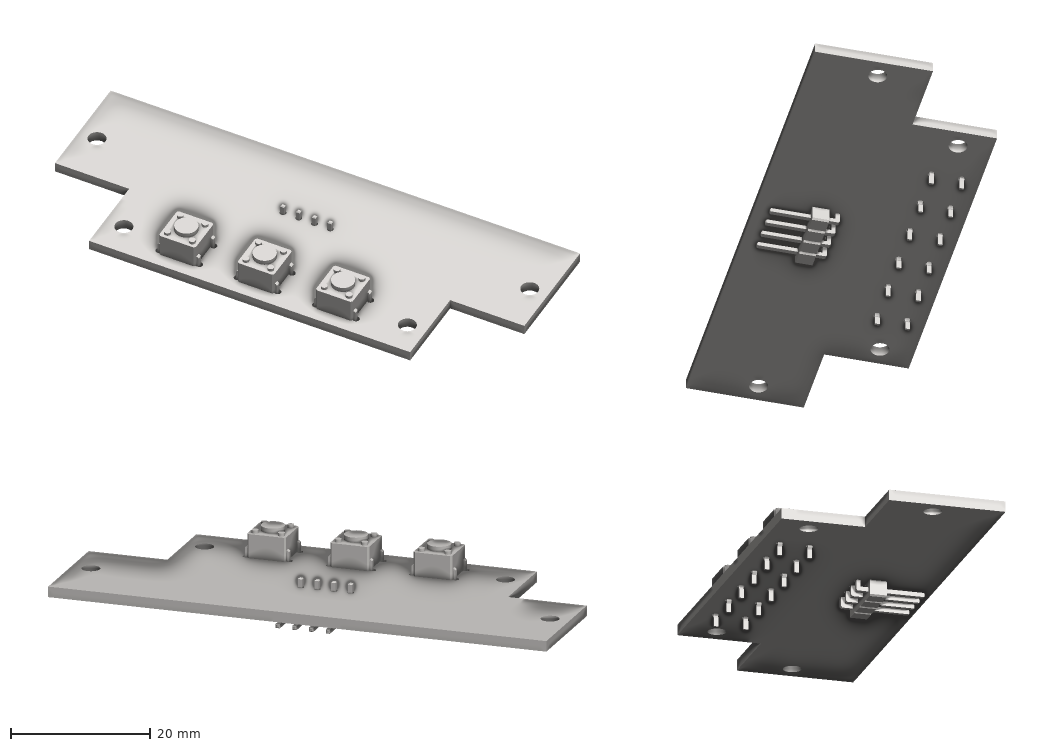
import cadquery as cq

BOARD_LENGTH = 76.0
BOARD_DEPTH = 30.0
BOARD_THICKNESS = 1.6
WIDE_DEPTH = 17.5
NARROW_LENGTH = 52.0
MOUNT_HOLE_DIAMETER = 2.7
REAR_MOUNT_X = 35.0
REAR_MOUNT_Y = -10.0
FRONT_MOUNT_X = 22.95

ROW_CENTER_X = -0.15

SWITCH_ROW_Y = -25.0
SWITCH_PITCH = 12.7
SWITCH_COUNT = 3
SWITCH_SIDE = 5.9
SWITCH_HEIGHT = 3.65
SWITCH_CORNER_CHAMFER = 0.265
PEG_DIAMETER = 1.0
PEG_SPACING = 4.0
PEG_HEIGHT = 0.45
PLUNGER_DIAMETER = 3.5
PLUNGER_HEIGHT = 0.75

LEG_SPACING_X = 6.4
LEG_SPACING_Y = 4.5
LEG_WIDTH = 0.7
LEG_THICKNESS = 0.3
LEG_TOP = 1.7
LEG_BEND = 0.2
LEG_BELOW_BOARD = 1.8
LEG_KINK_DEPTH = 0.2
LEG_KINK_BELOW_BOARD = 0.15
LEG_KINK_HALF_HEIGHT = 0.4
LEG_HOLE_DIAMETER = 1.1
LEG_HOLE_SPACING_X = 6.5

PIN_COUNT = 4
HEADER_LENGTH = 10.2
HEADER_HEIGHT = 2.5
HEADER_DEPTH = 2.5
PIN_PITCH = HEADER_LENGTH / PIN_COUNT
PIN_SIDE = 0.64
PIN_TIP_CHAMFER = 0.15
PIN_ROW_Y = -11.85
PIN_ABOVE_BOARD = 1.45
PIN_BEND_CHAMFER = 0.2
PIN_FREE_END_Y = -1.8
PIN_HOLE_DIAMETER = 1.0
HEADER_CENTER_Y = -9.1
HEADER_CHAMFER = 0.25

BOARD_BOTTOM = -BOARD_THICKNESS
PIN_AXIS_Z = BOARD_BOTTOM - HEADER_HEIGHT / 2


def row_positions(count, pitch):
    """X positions of a row of equally spaced items about the row centre."""
    return [ROW_CENTER_X + (i - (count - 1) / 2) * pitch for i in range(count)]


SWITCH_XS = row_positions(SWITCH_COUNT, SWITCH_PITCH)
PIN_XS = row_positions(PIN_COUNT, PIN_PITCH)


def make_board():
    half_length = BOARD_LENGTH / 2
    half_narrow = NARROW_LENGTH / 2
    outline = [
        (-half_length, 0),
        (half_length, 0),
        (half_length, -WIDE_DEPTH),
        (half_narrow, -WIDE_DEPTH),
        (half_narrow, -BOARD_DEPTH),
        (-half_narrow, -BOARD_DEPTH),
        (-half_narrow, -WIDE_DEPTH),
        (-half_length, -WIDE_DEPTH),
    ]
    mount_points = []
    for side in (-1, 1):
        mount_points.append((side * REAR_MOUNT_X, REAR_MOUNT_Y))
        mount_points.append((side * FRONT_MOUNT_X, SWITCH_ROW_Y))
    leg_points = [
        (x + side_x * LEG_HOLE_SPACING_X / 2, SWITCH_ROW_Y + side_y * LEG_SPACING_Y / 2)
        for x in SWITCH_XS
        for side_x in (-1, 1)
        for side_y in (-1, 1)
    ]
    pin_points = [(x, PIN_ROW_Y) for x in PIN_XS]

    board = cq.Workplane("XY").polyline(outline).close().extrude(-BOARD_THICKNESS)
    for points, diameter in (
        (mount_points, MOUNT_HOLE_DIAMETER),
        (leg_points, LEG_HOLE_DIAMETER),
        (pin_points, PIN_HOLE_DIAMETER),
    ):
        holes = cq.Workplane("XY").pushPoints(points).circle(diameter / 2).extrude(-BOARD_THICKNESS)
        board = board.cut(holes)
    return board


def make_leg():
    """One leg on the +X side of a switch, centred on Y = 0."""
    outer = LEG_SPACING_X / 2 + LEG_THICKNESS / 2
    inner = outer - LEG_THICKNESS
    root = SWITCH_SIDE / 2 - LEG_THICKNESS
    kink_z = BOARD_BOTTOM - LEG_KINK_BELOW_BOARD
    kink_top = kink_z + LEG_KINK_HALF_HEIGHT
    kink_bottom = kink_z - LEG_KINK_HALF_HEIGHT
    bottom = BOARD_BOTTOM - LEG_BELOW_BOARD
    profile = [
        (root, LEG_TOP),
        (outer - LEG_BEND, LEG_TOP),
        (outer, LEG_TOP - LEG_BEND),
        (outer, kink_top),
        (outer + LEG_KINK_DEPTH, kink_z),
        (outer, kink_bottom),
        (outer, bottom),
        (inner, bottom),
        (inner, kink_bottom),
        (inner + LEG_KINK_DEPTH, kink_z),
        (inner, kink_top),
        (inner, LEG_TOP - LEG_THICKNESS),
        (root, LEG_TOP - LEG_THICKNESS),
    ]
    return cq.Workplane("XZ").polyline(profile).close().extrude(LEG_WIDTH / 2, both=True)


def make_switch(x):
    """Square push switch with corner pegs, a round plunger and four legs."""
    switch = (
        cq.Workplane("XY")
        .rect(SWITCH_SIDE, SWITCH_SIDE)
        .extrude(SWITCH_HEIGHT)
        .edges("|Z")
        .chamfer(SWITCH_CORNER_CHAMFER)
    )
    top = cq.Workplane("XY").workplane(offset=SWITCH_HEIGHT)
    pegs = top.rect(PEG_SPACING, PEG_SPACING, forConstruction=True).vertices()
    switch = switch.union(pegs.circle(PEG_DIAMETER / 2).extrude(PEG_HEIGHT))
    switch = switch.union(top.circle(PLUNGER_DIAMETER / 2).extrude(PLUNGER_HEIGHT))

    right_leg = make_leg()
    for leg in (right_leg, right_leg.mirror("YZ")):
        for side_y in (-1, 1):
            switch = switch.union(leg.translate((0, side_y * LEG_SPACING_Y / 2, 0)))
    return switch.translate((x, SWITCH_ROW_Y, 0))


def make_pin(x):
    """Square pin bent at a right angle, tapered at both tips."""
    half = PIN_SIDE / 2
    upright_height = PIN_ABOVE_BOARD - (PIN_AXIS_Z - half)
    upright = (
        cq.Workplane("XY")
        .box(PIN_SIDE, PIN_SIDE, upright_height, centered=(True, True, False))
        .faces(">Z")
        .chamfer(PIN_TIP_CHAMFER)
        .translate((x, PIN_ROW_Y, PIN_AXIS_Z - half))
    )
    level_start = PIN_ROW_Y - half
    level = (
        cq.Workplane("XY")
        .box(PIN_SIDE, PIN_FREE_END_Y - level_start, PIN_SIDE, centered=(True, False, True))
        .faces(">Y")
        .chamfer(PIN_TIP_CHAMFER)
        .translate((x, level_start, PIN_AXIS_Z))
    )
    return upright.union(level).edges("|X and <Y and <Z").chamfer(PIN_BEND_CHAMFER)


def make_header():
    """Plastic block of one chamfered cell per pin, with the pins moulded in."""
    header = None
    for x in PIN_XS:
        cell = (
            cq.Workplane("XY")
            .box(PIN_PITCH, HEADER_DEPTH, HEADER_HEIGHT)
            .edges("|Y")
            .chamfer(HEADER_CHAMFER)
            .translate((x, HEADER_CENTER_Y, PIN_AXIS_Z))
        )
        header = cell if header is None else header.union(cell)
    for x in PIN_XS:
        header = header.union(make_pin(x))
    return header


board = make_board()
switches = [make_switch(x) for x in SWITCH_XS]
header = make_header()

result = cq.Compound.makeCompound([
    board.val(),
    *[switch.val() for switch in switches],
    header.val(),
])